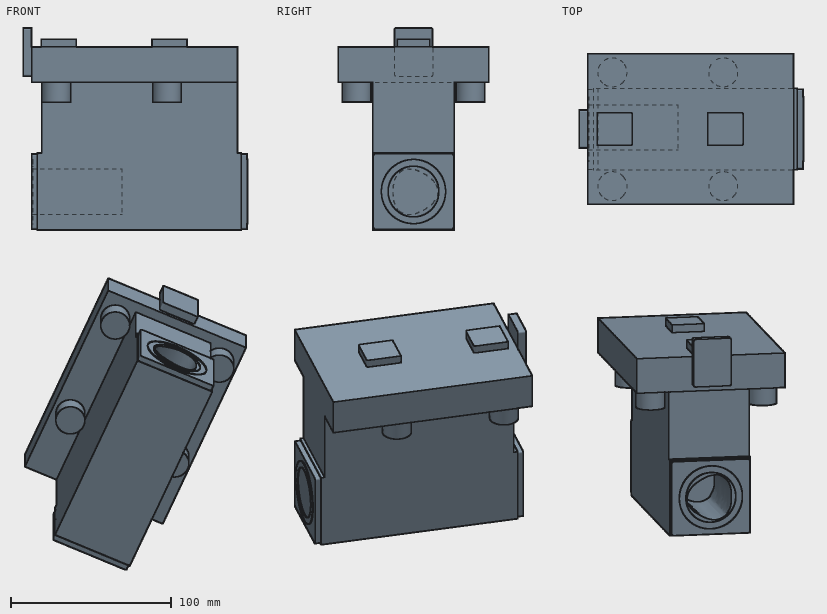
import cadquery as cq
import math

plate_length = 128.2
plate_width = 94.0
plate_thickness = 22.0
plate_left = 5.3
plate_bottom = 92.1
plate_right = plate_left + plate_length
plate_top = plate_bottom + plate_thickness

body_width = 51.0
web_left = 11.5
block_left = 9.0
block_right = 135.8
block_height = 48.2

flange_thickness = 3.6
flange_inset = 0.5
ring_outer_diameter = 40.0
ring_inner_diameter = 31.6
ring_height = 0.5
axis_height = block_height / 2
flange_width = body_width - 2 * flange_inset
flange_height = block_height - 2 * flange_inset

bore_mean_radius = 14.0
bore_lobe_height = 1.0
bore_lobe_angle = 0.0
bore_lobes = 3
wall_spline_steps = 8
bore_depth = 56.0

pin_diameter = 18.0
pin_length = 12.3
pin_offset = 35.4
pad_length = 22.0
pad_width = 20.5
pad_height = 4.9
first_pin_x = 20.6
first_pad_left = 11.2
station_pitch = 69.0
station_count = 2
tab_width = 23.8
tab_bottom = 95.8
tab_top = 126.0
corner_radius = 1.3


def block(x_min, x_max, width, z_min, z_max):
    """Box between two X and two Z limits, centred on Y = 0."""
    return cq.Workplane("XY").box(
        x_max - x_min, width, z_max - z_min, centered=(False, True, False)
    ).translate((x_min, 0, z_min))


def end_flange(x_min):
    """Square flange with rounded corners."""
    flange = block(
        x_min, x_min + flange_thickness, flange_width, flange_inset, flange_inset + flange_height
    )
    return flange.edges("|X").fillet(corner_radius)


def end_ring(x_min):
    """Flat ring, used as groove cutter or raised ring, around the bore axis."""
    return (
        cq.Workplane("YZ", origin=(x_min, 0, axis_height))
        .circle(ring_outer_diameter / 2)
        .circle(ring_inner_diameter / 2)
        .extrude(ring_height)
    )


def bore_point(angle):
    """Point of the bore outline at a polar angle measured from +Y."""
    radius = bore_mean_radius + bore_lobe_height * math.cos(bore_lobes * (angle - bore_lobe_angle))
    return radius * math.cos(angle), radius * math.sin(angle)


def lobed_bore(x_min, depth):
    """Three-lobed cutter along +X, with one smooth wall from each lobe peak to the next."""
    outline = cq.Workplane("YZ", origin=(x_min, 0, axis_height)).moveTo(*bore_point(bore_lobe_angle))
    lobe_pitch = 2 * math.pi / bore_lobes
    for lobe in range(bore_lobes):
        start = bore_lobe_angle + lobe * lobe_pitch
        end = start + lobe_pitch
        step = lobe_pitch / wall_spline_steps
        points = [bore_point(start + i * step) for i in range(1, wall_spline_steps + 1)]
        tangents = [(-math.sin(angle), math.cos(angle)) for angle in (start, end)]
        outline = outline.spline(points, tangents=tangents, includeCurrent=True)
    return outline.close().extrude(depth)


def pin_pair(x):
    """Two pins hanging below the plate, one on each side of the web."""
    return (
        cq.Workplane("XY", origin=(x, 0, plate_bottom))
        .pushPoints([(0, -pin_offset), (0, pin_offset)])
        .circle(pin_diameter / 2)
        .extrude(-pin_length)
    )


def top_pad(x_min):
    """Raised pad with its two +X corners rounded."""
    pad = block(x_min, x_min + pad_length, pad_width, plate_top, plate_top + pad_height)
    return pad.edges("|Z and >X").fillet(corner_radius)


part = block(plate_left, plate_right, plate_width, plate_bottom, plate_top)
part = part.union(block(web_left, plate_right, body_width, block_height, plate_bottom))
part = part.union(block(block_left, block_right, body_width, 0, block_height))

left_face = block_left - flange_thickness
right_face = block_right + flange_thickness
part = part.union(end_flange(left_face))
part = part.union(end_flange(block_right))
part = part.cut(end_ring(left_face))
part = part.union(end_ring(right_face))

for station in range(station_count):
    shift = station * station_pitch
    part = part.union(pin_pair(first_pin_x + shift))
    part = part.union(top_pad(first_pad_left + shift))

tab = block(0, plate_left, tab_width, tab_bottom, tab_top)
part = part.union(tab.edges("|X").fillet(corner_radius))

result = part.cut(lobed_bore(left_face, bore_depth))